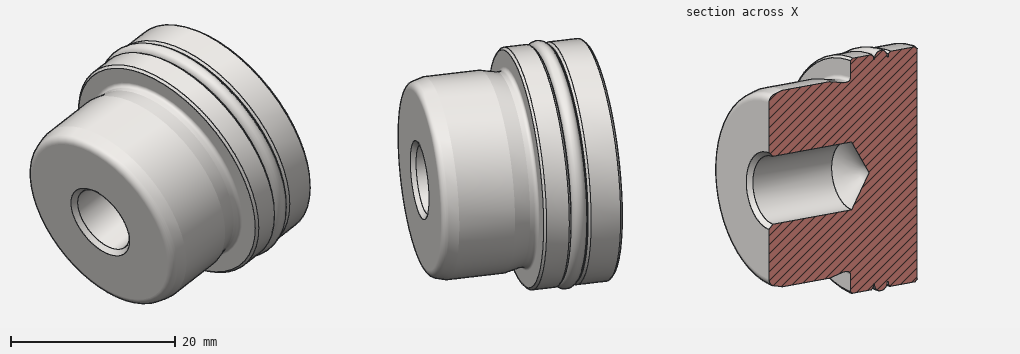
import cadquery as cq
import math

outer_radius = 15.25
total_length = 21.9

flange_radius = 14.92
flange_length = 9.9
flange_chamfer = 0.3
ring_section_radius = 0.98
ring_to_back = 5.37
groove_half_width = 1.07

neck_radius = 12.02
neck_fillet = 0.5
body_radius = 12.48
neck_taper_start = 10.92
body_back = 8.97
lead_in_length = 1.25
taper_angle = math.radians(15)
nose_round = 1.0

hole_radius = 4.27
hole_chamfer = 0.58
hole_depth = 12.2
drill_half_angle = math.radians(59)

flange_front = total_length - flange_length
ring_y = total_length - ring_to_back
ring_centre_radius = outer_radius - ring_section_radius
groove_front = ring_y - groove_half_width
groove_back = ring_y + groove_half_width
chamfer_radius = flange_radius - flange_chamfer
neck_front = total_length - neck_taper_start

nose_length = nose_round * (1 - math.sin(taper_angle))
lead_in_back = nose_length + lead_in_length
lead_in_radius = body_radius - lead_in_length * math.tan(taper_angle)
nose_centre_radius = lead_in_radius - nose_round * math.cos(taper_angle)
nose_mid_angle = (math.pi / 2 + taper_angle) / 2
nose_mid = (
    nose_centre_radius + nose_round * math.cos(nose_mid_angle),
    nose_round * (1 - math.sin(nose_mid_angle)),
)

fillet_offset = neck_fillet * (1 - math.sqrt(0.5))
fillet_mid = (neck_radius + fillet_offset, flange_front - fillet_offset)


def revolve_about_y(profile):
    """Turn a closed half profile, drawn as (radius, y), about the Y axis."""
    return profile.close().revolve(360, (0, 0, 0), (0, 1, 0))


def make_body():
    profile = (
        cq.Workplane("XY")
        .moveTo(0, 0)
        .lineTo(nose_centre_radius, 0)
        .threePointArc(nose_mid, (lead_in_radius, nose_length))
        .lineTo(body_radius, lead_in_back)
        .lineTo(body_radius, body_back)
        .lineTo(neck_radius, neck_front)
        .lineTo(neck_radius, flange_front - neck_fillet)
        .threePointArc(fillet_mid, (neck_radius + neck_fillet, flange_front))
        .lineTo(chamfer_radius, flange_front)
        .lineTo(flange_radius, flange_front + flange_chamfer)
        .lineTo(flange_radius, groove_front - flange_chamfer)
        .lineTo(chamfer_radius, groove_front)
        .lineTo(ring_centre_radius, groove_front)
        .lineTo(ring_centre_radius, ring_y - ring_section_radius)
        .threePointArc(
            (outer_radius, ring_y),
            (ring_centre_radius, ring_y + ring_section_radius),
        )
        .lineTo(ring_centre_radius, groove_back)
        .lineTo(chamfer_radius, groove_back)
        .lineTo(flange_radius, groove_back + flange_chamfer)
        .lineTo(flange_radius, total_length - flange_chamfer)
        .lineTo(chamfer_radius, total_length)
        .lineTo(0, total_length)
    )
    return revolve_about_y(profile)


def make_hole():
    tip_depth = hole_depth + hole_radius / math.tan(drill_half_angle)
    profile = (
        cq.Workplane("XY")
        .moveTo(0, 0)
        .lineTo(hole_radius + hole_chamfer, 0)
        .lineTo(hole_radius, hole_chamfer)
        .lineTo(hole_radius, hole_depth)
        .lineTo(0, tip_depth)
    )
    return revolve_about_y(profile)


result = make_body().cut(make_hole())